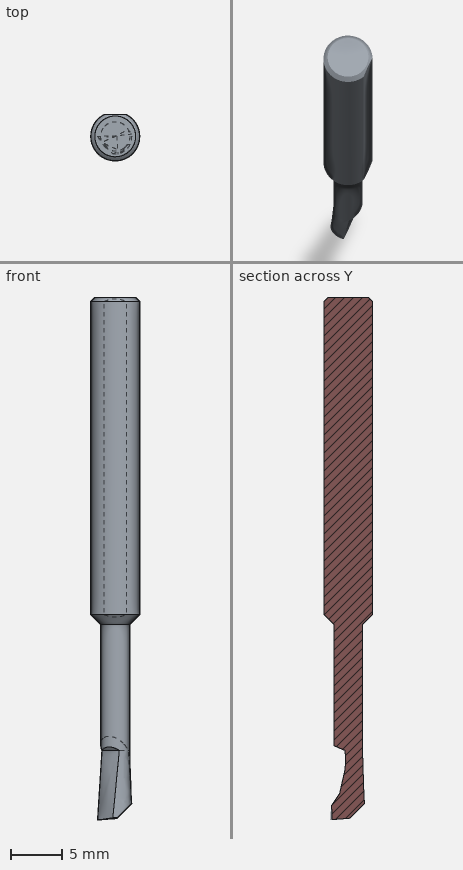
import cadquery as cq
import math

TOTAL_LENGTH = 50.8
SHANK_RADIUS = 2.4
FLAT_OFFSET = 2.15
SHANK_BOTTOM = 19.95
TOP_CHAMFER_WIDTH = 0.4
TOP_CHAMFER_HEIGHT = 0.4

NECK_RADIUS = 1.4
NECK_BOTTOM = 6.75
CONE_HEIGHT = SHANK_RADIUS - NECK_RADIUS

CUTTING_EDGE_ANGLE = 204.0
RELIEF_EDGE_ANGLE = 286.0
HEEL_ANGLE = 387.0
TIP_CUTTING_CORNER = (-1.75, 0.0)
TIP_RELIEF_CORNER = (-0.25, -1.75)
TIP_HEEL_CORNER = (1.7, 0.1)
TIP_BACK_RADIUS = 1.75
TIP_BACK_ANGLE = 320.0

END_SLOPE_X = 0.08
END_SLOPE_Y = -0.06
CORNER_CUT_START = 0.15
CUTTER_SIZE = 15.25


def on_circle(radius, degrees):
    angle = math.radians(degrees)
    return (radius * math.cos(angle), radius * math.sin(angle))


def half_space(origin, normal):
    """A large block lying on the side of a plane that the normal points to."""
    plane = cq.Plane(origin=origin, normal=normal)
    return cq.Workplane(plane).rect(CUTTER_SIZE, CUTTER_SIZE).extrude(CUTTER_SIZE)


def make_body():
    profile = [
        (0, NECK_BOTTOM),
        (NECK_RADIUS, NECK_BOTTOM),
        (NECK_RADIUS, SHANK_BOTTOM - CONE_HEIGHT),
        (SHANK_RADIUS, SHANK_BOTTOM),
        (SHANK_RADIUS, TOTAL_LENGTH - TOP_CHAMFER_HEIGHT),
        (SHANK_RADIUS - TOP_CHAMFER_WIDTH, TOTAL_LENGTH),
        (0, TOTAL_LENGTH),
    ]
    body = cq.Workplane("XZ").polyline(profile).close().revolve(360, (0, 0), (0, 1))
    flat_cut = cq.Workplane("XY").box(
        2 * SHANK_RADIUS, SHANK_RADIUS, TOTAL_LENGTH, centered=(True, False, False)
    )
    return body.cut(flat_cut.translate((0, FLAT_OFFSET, 0)))


def runout(start, end):
    """The 45 degree run-out of a ground face, rising to the right of start-to-end."""
    dx = end[0] - start[0]
    dy = end[1] - start[1]
    length = math.hypot(dx, dy)
    return half_space((start[0], start[1], NECK_BOTTOM), (dy / length, -dx / length, -1))


def make_blade(cutting_corner, relief_corner, heel_corner):
    tip_back = on_circle(TIP_BACK_RADIUS, TIP_BACK_ANGLE)
    neck_back = on_circle(NECK_RADIUS, (RELIEF_EDGE_ANGLE + HEEL_ANGLE) / 2)
    return (
        cq.Workplane("XY")
        .moveTo(*TIP_CUTTING_CORNER)
        .lineTo(*TIP_RELIEF_CORNER)
        .threePointArc(tip_back, TIP_HEEL_CORNER)
        .close()
        .workplane(offset=NECK_BOTTOM)
        .moveTo(*cutting_corner)
        .lineTo(*relief_corner)
        .threePointArc(neck_back, heel_corner)
        .close()
        .loft(ruled=True)
    )


def grind_end(blade):
    tip_x, tip_y = TIP_CUTTING_CORNER
    end_cut = half_space((tip_x, tip_y, 0), (END_SLOPE_X, END_SLOPE_Y, -1))
    corner_z = END_SLOPE_X * (CORNER_CUT_START - tip_x)
    corner_cut = half_space((CORNER_CUT_START, 0, corner_z), (1, 0, -1))
    return blade.cut(end_cut).cut(corner_cut)


cutting_corner = on_circle(NECK_RADIUS, CUTTING_EDGE_ANGLE)
relief_corner = on_circle(NECK_RADIUS, RELIEF_EDGE_ANGLE)
heel_corner = on_circle(NECK_RADIUS, HEEL_ANGLE)

body = make_body()
body = body.cut(runout(heel_corner, cutting_corner))
body = body.cut(runout(cutting_corner, relief_corner))
blade = grind_end(make_blade(cutting_corner, relief_corner, heel_corner))
result = body.union(blade)